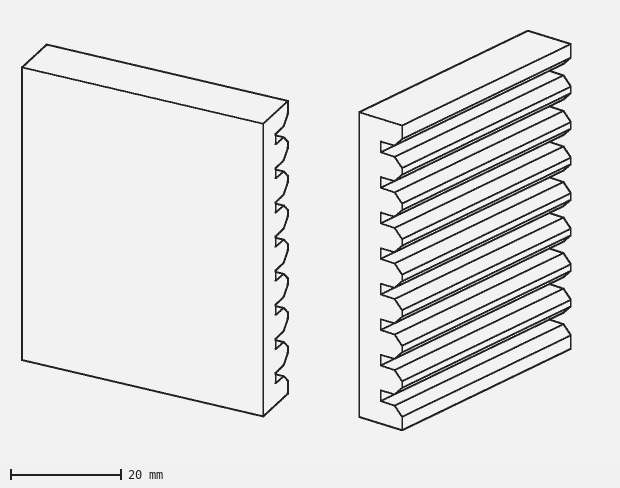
import cadquery as cq

width = 49.0
thickness = 10.0
height = 60.0

groove_count = 8
end_to_groove_center = 5.5
groove_pitch = (height - 2 * end_to_groove_center) / (groove_count - 1)
groove_depth = 5.0
floor_width = 2.1
shoulder_width = 2.2
flare = 1.75
mouth_width = shoulder_width + 2 * flare

back_y = thickness / 2
floor_y = back_y - groove_depth
shoulder_y = back_y - flare


def groove(center_z):
    """Full-width cutter for one groove, symmetric about center_z."""
    lower_side = [
        (floor_y, -floor_width / 2),
        (shoulder_y, -shoulder_width / 2),
        (back_y, -mouth_width / 2),
    ]
    upper_side = [(y, -z) for y, z in reversed(lower_side)]
    return (
        cq.Workplane("YZ", origin=(0, 0, center_z))
        .polyline(lower_side + upper_side)
        .close()
        .extrude(width / 2, both=True)
    )


result = cq.Workplane("XY").box(width, thickness, height)

for index in range(groove_count):
    groove_z = -height / 2 + end_to_groove_center + index * groove_pitch
    result = result.cut(groove(groove_z))